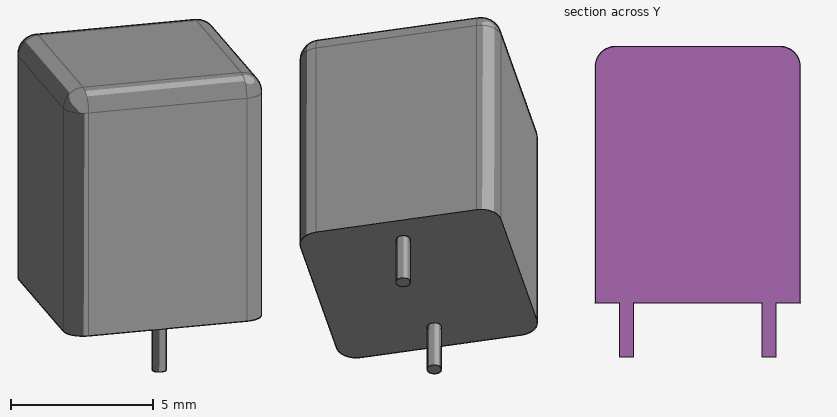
import cadquery as cq

overall_height = 10.9
body_width = 7.2
body_height = 9.0
edge_radius = 0.72

lead_diameter = 0.5
lead_pitch = 5.0
lead_length = overall_height - body_height


def make_body():
    """Square case standing on Z = 0, rounded everywhere but at its flat base."""
    block = cq.Workplane("XY").box(body_width, body_width, body_height, centered=(True, True, False))
    return block.edges("|Z or >Z").fillet(edge_radius)


def make_leads():
    """Round leads hanging from the base of the case."""
    lead_centres = [(-lead_pitch / 2, 0), (lead_pitch / 2, 0)]
    return cq.Workplane("XY").pushPoints(lead_centres).circle(lead_diameter / 2).extrude(-lead_length)


result = make_body().union(make_leads())